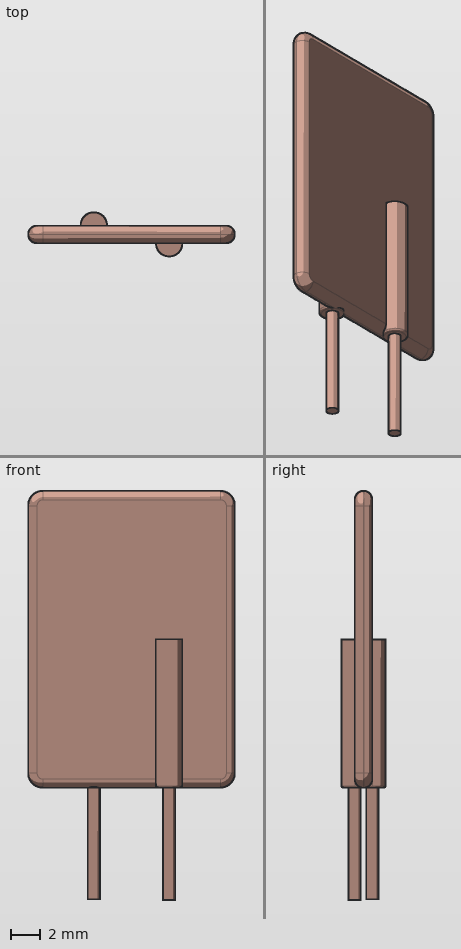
import cadquery as cq

BODY_WIDTH = 14.0
BODY_HEIGHT = 20.1
BODY_THICKNESS = 1.2
CORNER_RADIUS = 1.0
RIM_FLAT = 0.002
EDGE_RADIUS = (BODY_THICKNESS - RIM_FLAT) / 2

LEAD_PITCH = 5.1
LEAD_DIAMETER = 0.85
FRONT_LEAD_LENGTH = 7.6
BACK_LEAD_LENGTH = 7.55

SLEEVE_RADIUS = 0.9
SLEEVE_HEIGHT = 10.05
SLEEVE_EDGE_RADIUS = 0.15

FACE_OFFSET = BODY_THICKNESS / 2
LEAD_OFFSET = LEAD_PITCH / 2


def make_body():
    """Plate with rounded corners and a rounded rim."""
    plate = cq.Workplane("XY").box(BODY_WIDTH, BODY_THICKNESS, BODY_HEIGHT, centered=(True, True, False))
    plate = plate.edges("|Y").fillet(CORNER_RADIUS)
    return plate.faces("<Y or >Y").edges().fillet(EDGE_RADIUS)


def make_terminal(x, y, lead_length):
    """Sleeve rising from the bottom of the body, with its lead hanging below."""
    base = cq.Workplane("XY").center(x, y)
    sleeve = base.circle(SLEEVE_RADIUS).extrude(SLEEVE_HEIGHT)
    sleeve = sleeve.faces("<Z").edges().fillet(SLEEVE_EDGE_RADIUS)
    lead = base.circle(LEAD_DIAMETER / 2).extrude(-lead_length)
    return sleeve.union(lead)


front_terminal = make_terminal(LEAD_OFFSET, -FACE_OFFSET, FRONT_LEAD_LENGTH)
back_terminal = make_terminal(-LEAD_OFFSET, FACE_OFFSET, BACK_LEAD_LENGTH)

result = make_body().union(front_terminal).union(back_terminal)